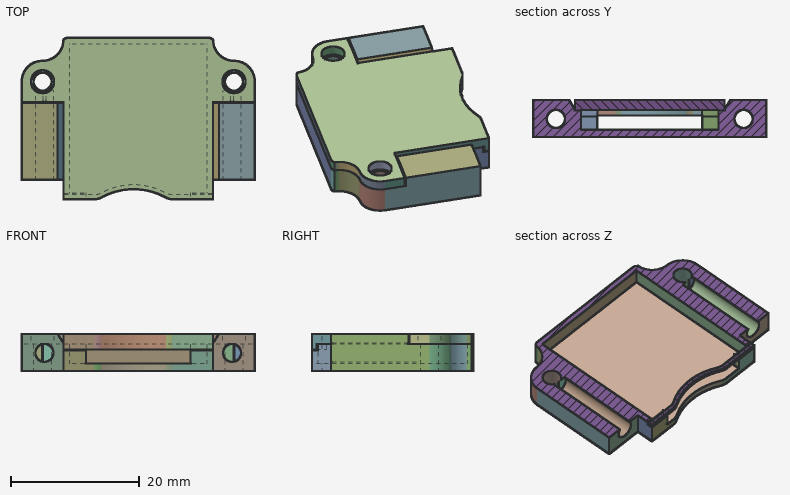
import cadquery as cq
import math

width = 36.2
depth = 25.1
height = 5.8
cover_thickness = 1.6
neck_half_width = 11.62

ear_radius = 3.25
ear_center_y = 18.25
screw_diameter = 2.8
counterbore_diameter = 3.6
notch_end_y = 24.05
back_half_width = 10.85
back_corner_mid_x = 11.35
back_corner_mid_y = 24.95

arm_front_y = 3.0
arm_back_y = 14.95
arm_bevel_width = 0.9
arm_bevel_drop = 1.4
arm_hole_x = 14.55
arm_hole_z = 2.82
arm_hole_overlap = 0.005
ear_gap = 0.18

scoop_center_x = -0.72
scoop_half_width = 6.0
scoop_depth = 1.55
scoop_blend_width = 0.98

lip_bottom_z = 3.33
lip_thickness = 0.72
lip_gap_y = 0.2
lip_gap_z = 0.1
wall = 0.98
floor_z = 1.15
slot_half_width = 8.1

half_width = width / 2
seam_z = height - cover_thickness
screw_x = half_width - ear_radius
ear_back_y = ear_center_y + ear_radius
notch_radius = screw_x - neck_half_width
notch_center_y = ear_back_y + notch_radius
notch_end_x = screw_x - math.sqrt(notch_radius**2 - (notch_center_y - notch_end_y) ** 2)
arm_hole_end_y = ear_center_y - screw_diameter / 2 + arm_hole_overlap
screw_points = [(-screw_x, ear_center_y), (screw_x, ear_center_y)]


def prism(outline, bottom, top):
    """Extrude a closed XY outline between two heights."""
    return outline.extrude(top - bottom).translate((0, 0, bottom))


def block(x_min, x_max, y_min, y_max, z_min, z_max):
    """Axis-aligned block given by its limits."""
    size = (x_max - x_min, y_max - y_min, z_max - z_min)
    return cq.Workplane("XY").box(*size, centered=False).translate((x_min, y_min, z_min))


def front_edge(path, shift):
    """Draw the scooped front edge from left to right, starting from the current point."""
    turn = 2 * math.atan(scoop_depth / scoop_half_width)
    arc_half_width = scoop_half_width - scoop_blend_width
    blend_radius = scoop_blend_width / math.sin(turn)
    blend_rise = blend_radius * (1 - math.cos(turn))
    half_blend_x = scoop_half_width - blend_radius * math.sin(turn / 2)
    half_blend_y = shift + blend_radius * (1 - math.cos(turn / 2))
    joint_y = shift + blend_rise
    x = scoop_center_x
    return (
        path.lineTo(x - scoop_half_width, shift)
        .threePointArc((x - half_blend_x, half_blend_y), (x - arc_half_width, joint_y))
        .threePointArc((x, shift + scoop_depth), (x + arc_half_width, joint_y))
        .threePointArc((x + half_blend_x, half_blend_y), (x + scoop_half_width, shift))
    )


def front_region(half_span, shift, back_y):
    """Outline of a band whose front edge is the scooped edge moved back by shift."""
    path = cq.Workplane("XY").moveTo(-half_span, shift)
    path = front_edge(path, shift)
    return path.lineTo(half_span, shift).lineTo(half_span, back_y).lineTo(-half_span, back_y).close()


def plate(side_front_y, bottom, top):
    """Outer shape with ears, whose wide portion begins at side_front_y."""
    diagonal = math.sqrt(0.5)
    ear_mid = (screw_x + ear_radius * diagonal, ear_center_y + ear_radius * diagonal)
    notch_mid = (screw_x - notch_radius * diagonal, notch_center_y - notch_radius * diagonal)
    notch_end = (notch_end_x, notch_end_y)
    corner_mid = (back_corner_mid_x, back_corner_mid_y)

    def mirror(point):
        return (-point[0], point[1])

    path = front_edge(cq.Workplane("XY").moveTo(-neck_half_width, 0), 0)
    outline = (
        path.lineTo(neck_half_width, 0)
        .lineTo(neck_half_width, side_front_y)
        .lineTo(half_width, side_front_y)
        .lineTo(half_width, ear_center_y)
        .threePointArc(ear_mid, (screw_x, ear_back_y))
        .threePointArc(notch_mid, notch_end)
        .lineTo(neck_half_width, notch_center_y)
        .threePointArc(corner_mid, (back_half_width, depth))
        .lineTo(-back_half_width, depth)
        .threePointArc(mirror(corner_mid), (-neck_half_width, notch_center_y))
        .lineTo(-notch_end_x, notch_end_y)
        .threePointArc(mirror(notch_mid), (-screw_x, ear_back_y))
        .threePointArc(mirror(ear_mid), (-half_width, ear_center_y))
        .lineTo(-half_width, side_front_y)
        .lineTo(-neck_half_width, side_front_y)
        .close()
    )
    return prism(outline, bottom, top)


def lip_band(thickness, bottom):
    """Strip of the given thickness that follows the front edge, up to the seam."""
    whole = prism(front_region(neck_half_width, 0, depth / 2), bottom, seam_z)
    behind = prism(front_region(neck_half_width, thickness, depth / 2), bottom, seam_z)
    return whole.cut(behind)


def arm_top(side):
    """Upper part of one arm, beside the cover, with a bevelled inner edge; side is -1 or 1."""
    profile = [
        (side * neck_half_width, seam_z),
        (side * half_width, seam_z),
        (side * half_width, height),
        (side * (neck_half_width + arm_bevel_width), height),
        (side * neck_half_width, height - arm_bevel_drop),
    ]
    length = arm_back_y - arm_front_y
    return cq.Workplane("XZ").polyline(profile).close().extrude(-length).translate((0, arm_front_y, 0))


def make_base():
    """Tray with two drilled arms and a slotted front wall."""
    base = plate(arm_front_y, 0, seam_z)
    for side in (-1, 1):
        base = base.union(arm_top(side))
    base = base.cut(lip_band(lip_thickness + lip_gap_y, lip_bottom_z - lip_gap_z))
    cavity = prism(front_region(neck_half_width - wall, wall, depth - wall), floor_z, seam_z)
    slot = block(-slot_half_width, slot_half_width, 0, wall + scoop_depth, floor_z, seam_z)
    base = base.cut(cavity).cut(slot)
    for x in (-arm_hole_x, arm_hole_x):
        profile = cq.Workplane("XZ").center(x, arm_hole_z).circle(screw_diameter / 2)
        bore = profile.extrude(-arm_hole_end_y)
        base = base.cut(bore)
    screws = cq.Workplane("XY").pushPoints(screw_points).circle(screw_diameter / 2).extrude(height)
    return base.cut(screws)


def make_cover():
    """Lid with a front lip and clearance holes for the screw heads."""
    cover = plate(arm_back_y + ear_gap, seam_z, height)
    cover = cover.union(lip_band(lip_thickness, lip_bottom_z))
    holes = cq.Workplane("XY").pushPoints(screw_points).circle(counterbore_diameter / 2).extrude(height)
    return cover.cut(holes)


base = make_base()
cover = make_cover()
result = cq.Compound.makeCompound([base.val(), cover.val()])